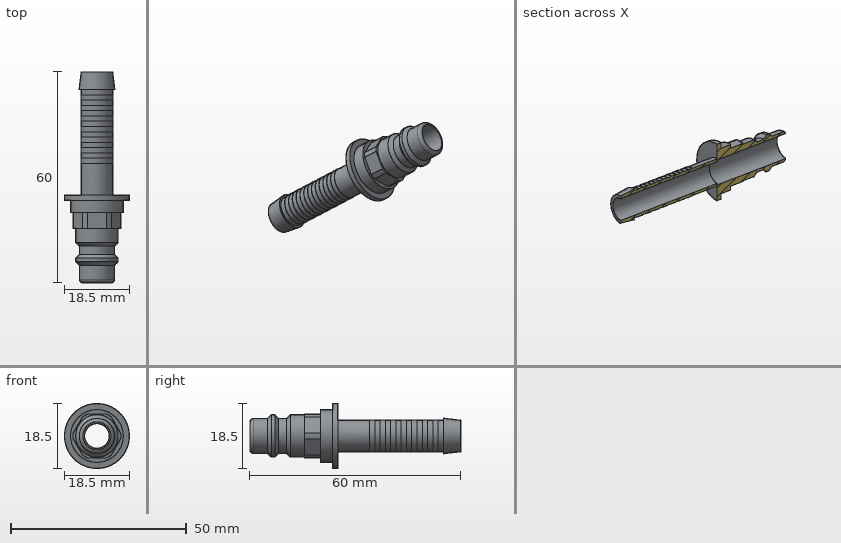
import cadquery as cq
import math

LENGTH = 60.0

PLUG_R = 5.0
TIP_FILLET = 1.0
BODY_R = 6.05
SLOPE = BODY_R - PLUG_R
BEAD_START = 5.0
BEAD_WIDTH = 1.0
BEAD_FLAT_START = BEAD_START + SLOPE
BEAD_FLAT_END = BEAD_FLAT_START + BEAD_WIDTH
BEAD_END = BEAD_FLAT_END + SLOPE
BODY_START = 11.5

HEX_START = 15.5
HEX_END = 20.0
HEX_FLATS = 12.5
HEX_CORNER_R = 6.8

COLLAR_R = 7.5
FLANGE_R = 9.25
FLANGE_START = 23.5
FLANGE_END = 25.0

TAIL_R = 4.5
BARB_START = 55.0
BARB_R = 5.1
BARB_END_R = TAIL_R
BAND_R = 4.6
BAND_WIDTH = 1.5
BAND_PITCH = 3.0
BAND_COUNT = 7
FIRST_BAND = 34.0

PLUG_BORE_R = PLUG_R - TIP_FILLET
TAIL_BORE_R = 3.5


def cylinder(radius, start, end):
    """Cylinder about Y between two stations."""
    return cq.Workplane("XZ", origin=(0, start, 0)).circle(radius).extrude(start - end)


def turned_body():
    """Plug, collar, flange and barbed tail revolved about Y."""
    fillet_mid = TIP_FILLET * (1 - math.sqrt(0.5))
    return (
        cq.Workplane("XY")
        .moveTo(0, 0)
        .lineTo(PLUG_R - TIP_FILLET, 0)
        .threePointArc((PLUG_R - fillet_mid, fillet_mid), (PLUG_R, TIP_FILLET))
        .lineTo(PLUG_R, BEAD_START)
        .lineTo(BODY_R, BEAD_FLAT_START)
        .lineTo(BODY_R, BEAD_FLAT_END)
        .lineTo(PLUG_R, BEAD_END)
        .lineTo(PLUG_R, BODY_START - SLOPE)
        .lineTo(BODY_R, BODY_START)
        .lineTo(BODY_R, HEX_END)
        .lineTo(COLLAR_R, HEX_END)
        .lineTo(COLLAR_R, FLANGE_START)
        .lineTo(FLANGE_R, FLANGE_START)
        .lineTo(FLANGE_R, FLANGE_END)
        .lineTo(TAIL_R, FLANGE_END)
        .lineTo(TAIL_R, BARB_START)
        .lineTo(BARB_R, BARB_START)
        .lineTo(BARB_END_R, LENGTH)
        .lineTo(0, LENGTH)
        .close()
        .revolve(360, (0, 0, 0), (0, 1, 0))
    )


def hexagon():
    """Spanner hexagon with flats facing +Z and -Z and its corners turned round."""
    across_corners = HEX_FLATS / math.cos(math.pi / 6)
    prism = (
        cq.Workplane("XZ", origin=(0, HEX_START, 0))
        .polygon(6, across_corners)
        .extrude(HEX_START - HEX_END)
    )
    return prism.intersect(cylinder(HEX_CORNER_R, HEX_START, HEX_END))


def grip_bands():
    """Low raised bands spaced along the tail."""
    bands = cq.Workplane("XY")
    for index in range(BAND_COUNT):
        start = FIRST_BAND + index * BAND_PITCH
        bands = bands.add(cylinder(BAND_R, start, start + BAND_WIDTH))
    return bands.combine()


def stepped_bore():
    """Through bore that narrows at the rear of the flange."""
    wide = cylinder(PLUG_BORE_R, 0, FLANGE_END)
    return wide.union(cylinder(TAIL_BORE_R, 0, LENGTH))


result = turned_body().union(hexagon()).union(grip_bands()).cut(stepped_bore())